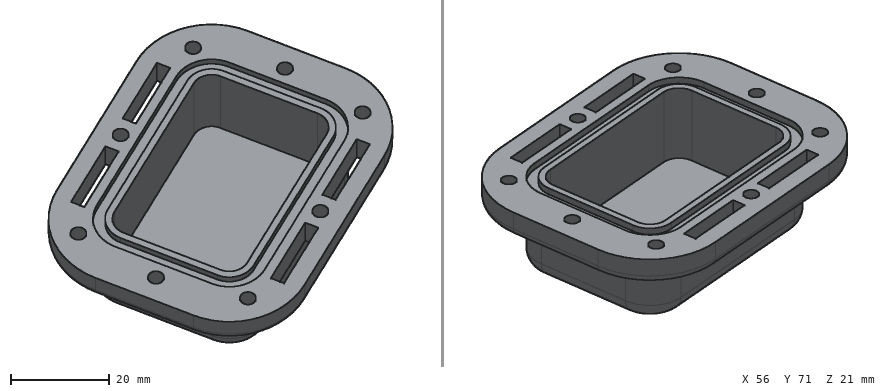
import cadquery as cq

flange_width = 56.0
flange_length = 71.0
flange_thickness = 5.95
flange_corner_radius = 17.0
flange_edge_fillet = 2.0

total_height = 21.0
tub_width = 38.0
tub_length = 53.0
tub_corner_radius = 8.0
tub_bottom_fillet = 4.0

groove_width = 2.5
groove_depth = 1.5
rim_width = 1.5
floor_thickness = 4.0

hole_diameter = 3.3
end_hole_y = 30.0
corner_hole_x = 19.2
corner_hole_y = 26.7
side_opening_x = 22.6
slot_width = 3.0
slot_length = 16.0
slot_center_y = 12.0


def rounded_block(width, length, radius, top, height):
    """Block with rounded vertical edges, reaching down from the given top."""
    block = cq.Workplane("XY").workplane(offset=top - height).rect(width, length).extrude(height)
    return block.edges("|Z").fillet(radius)


def inset_block(inset, top, height):
    """Block whose outline is the tub outline moved inward."""
    return rounded_block(
        tub_width - 2 * inset, tub_length - 2 * inset, tub_corner_radius - inset, top, height
    )


def make_body():
    flange = rounded_block(flange_width, flange_length, flange_corner_radius, 0, flange_thickness)
    flange = flange.faces("<Z").edges().fillet(flange_edge_fillet)
    tub = inset_block(0, 0, total_height)
    tub = tub.faces("<Z").edges().fillet(tub_bottom_fillet)
    return flange.union(tub)


def make_recesses():
    """Seal groove and cavity as one cutting shape."""
    groove = inset_block(0, 0, groove_depth)
    rim = inset_block(groove_width, 0, groove_depth)
    cavity = inset_block(groove_width + rim_width, 0, total_height - floor_thickness)
    return groove.cut(rim).union(cavity)


def make_flange_openings():
    """Eight screw holes and four slots."""
    hole_points = [(0, end_hole_y), (0, -end_hole_y), (side_opening_x, 0), (-side_opening_x, 0)]
    slot_points = []
    for side_x in (-1, 1):
        for side_y in (-1, 1):
            hole_points.append((side_x * corner_hole_x, side_y * corner_hole_y))
            slot_points.append((side_x * side_opening_x, side_y * slot_center_y))
    bottom = cq.Workplane("XY").workplane(offset=-flange_thickness)
    holes = bottom.pushPoints(hole_points).circle(hole_diameter / 2).extrude(flange_thickness)
    slots = bottom.pushPoints(slot_points).rect(slot_width, slot_length).extrude(flange_thickness)
    return holes.union(slots)


result = make_body().cut(make_recesses()).cut(make_flange_openings())